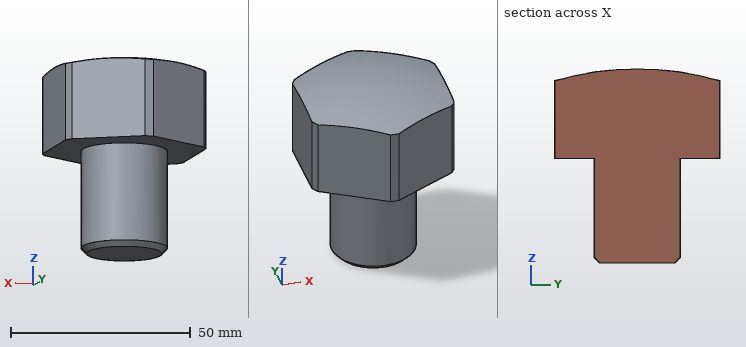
import cadquery as cq
import math

across_flats = 41.0
corner_diameter = 46.0
head_height = 25.0
dome_radius = 2 * across_flats
shank_diameter = 24.0
shank_length = 29.0
tip_chamfer = 1.53

corner_radius = corner_diameter / 2
total_height = shank_length + head_height
dome_center_z = total_height - dome_radius
flat_pair_count = 3
flat_pair_turn = 180.0 / flat_pair_count


def dome_height_at(radius):
    """Z of the spherical dome at a given distance from the Z axis."""
    return dome_center_z + math.sqrt(dome_radius**2 - radius**2)


def make_round_head():
    """Round head blank with a spherical dome, revolved about the Z axis."""
    middle_radius = corner_radius / 2
    return (
        cq.Workplane("XZ")
        .moveTo(0, shank_length)
        .lineTo(-corner_radius, shank_length)
        .lineTo(-corner_radius, dome_height_at(corner_radius))
        .threePointArc((-middle_radius, dome_height_at(middle_radius)), (0, total_height))
        .close()
        .revolve(360, (0, 0), (0, 1))
    )


def make_hexagon_head():
    """Head blank cut to a hexagon; one pair of flats faces -X and +X."""
    head = make_round_head()
    for index in range(flat_pair_count):
        slab = (
            cq.Workplane("XY")
            .box(across_flats, 2 * corner_diameter, total_height, centered=(True, True, False))
            .rotate((0, 0, 0), (0, 0, 1), index * flat_pair_turn)
        )
        head = head.intersect(slab)
    return head


def make_shank():
    """Plain round shank with a chamfered lower end at Z = 0."""
    shank = cq.Workplane("XY").circle(shank_diameter / 2).extrude(shank_length)
    return shank.faces("<Z").chamfer(tip_chamfer)


result = make_hexagon_head().union(make_shank())